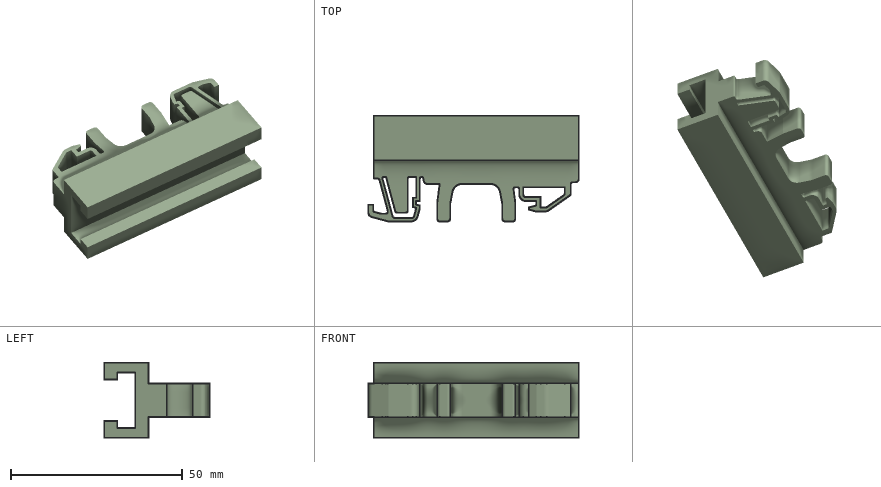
import cadquery as cq
import math


overall_length = 61.6
rail_length = 60.0
rail_depth = 13.0
rail_height = 22.0
lip_depth = 3.9
channel_depth = 5.2
channel_height = 16.15
mouth_height = 12.1

foot_thickness = 9.85
foot_depth = 17.9
small_radius = 0.3
root_radius = 0.45
corner_radius = 0.6
foot_edge = -6.95

lean = math.tan(math.radians(15))
left_shoulder = -5.35
arm_outer_x = 1.6
hook_overhang = overall_length - rail_length
hook_width = 1.55
hook_tip = -12.95
hook_floor = -15.6
hook_floor_bend_x = 2.15
hook_heel_radius = 1.55
hook_outer_bend_x = 4.4
hook_bend_radius = 1.55
loop_right = 13.55
loop_wall = 1.1
loop_bend_radius = 2.15
loop_bend = -14.05
jog_top = -11.95
jog_bottom = -12.95
jog_step = 1.0
inner_jog_top = -10.9
inner_jog_bottom = -13.7
loop_floor = -16.8
slot_top = -4.9
slot_left_x = 2.5
tongue_left_x = 3.65
tongue_right_x = 10.05
tongue_tip = -15.35

notch_right = 14.4
notch_lean = 0.4
notch_radius = 1.25

legs_middle = 30.0
leg_outer_half = 11.45
leg_inner_half = 7.6
leg_outer_root_half = 10.7
leg_inner_root_half = 6.45
leg_outer_bend = -12.5
leg_inner_bend = -12.7
leg_arch_radius = 2.8
leg_tip_radius = 0.9
leg_bend_radius = 4.9

right_shoulder = -6.45
gap_top = -7.95
latch_left = 42.5
latch_wall = 1.3
latch_bar_top = -10.7
latch_bar_bottom = -11.95
latch_bend_radius = 2.05
barb_neck_x = 47.5
barb_top = -13.2
barb_tip_x = 45.4
barb_bend_x = 47.55
latch_bottom = -15.0
latch_floor = -13.75
window_step_x = 48.8
window_right = 55.8
frame_right = 57.65
brace_slope = math.tan(math.radians(35))
brace_outer_top = -10.1
brace_inner_top = -10.05
brace_bend_radius = 2.45
end_radius = 1.1


def rounded_outline(corners):
    """Closed outline from (x, y, radius) corners; a zero radius leaves the corner sharp."""
    path = cq.Workplane("XY")
    for index, (x, y, radius) in enumerate(corners):
        following = corners[(index + 1) % len(corners)]
        corner = cq.Vector(x, y)
        backward = (cq.Vector(*corners[index - 1][:2]) - corner).normalized()
        forward = (cq.Vector(*following[:2]) - corner).normalized()
        half_angle = backward.getAngle(forward) / 2
        setback = radius / math.tan(half_angle)
        arc_depth = radius / math.sin(half_angle) - radius
        start = corner + backward * setback
        path = path.moveTo(start.x, start.y) if index == 0 else path.lineTo(start.x, start.y)
        if radius > 0:
            middle = corner + (backward + forward).normalized() * arc_depth
            end = corner + forward * setback
            path = path.threePointArc((middle.x, middle.y), (end.x, end.y))
    return path.close()


def foot_prism(corners):
    return rounded_outline(corners).extrude(foot_thickness / 2, both=True)


def rail():
    def bar(y_front, depth, height):
        return (
            cq.Workplane("XY")
            .box(rail_length, depth, height, centered=(False, False, True))
            .translate((0, y_front, 0))
        )

    channel_back = rail_depth - lip_depth
    channel = bar(channel_back - channel_depth, channel_depth, channel_height)
    mouth = bar(channel_back, lip_depth, mouth_height)
    return bar(0, rail_depth, rail_height).cut(channel).cut(mouth)


def left_clip_corners():
    """Outer corners from the left end of the foot to the notch beside the loop."""
    arm_foot_x = arm_outer_x + (left_shoulder - hook_floor) * lean
    hook_inner_x = hook_width - hook_overhang
    loop_lean_end = loop_right - (loop_bend + foot_depth) * lean
    return [
        (0, left_shoulder, small_radius),
        (arm_outer_x, left_shoulder, corner_radius),
        (arm_foot_x, hook_floor, corner_radius),
        (hook_floor_bend_x, hook_floor, 0),
        (hook_inner_x, hook_floor + (hook_floor_bend_x - hook_inner_x) * lean, small_radius),
        (hook_inner_x, hook_tip, 0),
        (-hook_overhang, hook_tip, 0),
        (-hook_overhang, -foot_depth + (hook_outer_bend_x + hook_overhang) * lean, hook_heel_radius),
        (hook_outer_bend_x, -foot_depth, hook_bend_radius),
        (loop_lean_end, -foot_depth, loop_bend_radius),
        (loop_right, loop_bend, 0),
        (loop_right, jog_bottom - loop_wall * lean, 0),
        (loop_right - loop_wall, jog_bottom, 0),
        (loop_right - loop_wall, jog_top, 0),
        (loop_right, jog_top, 0),
        (loop_right, slot_top, root_radius),
        (notch_right, slot_top, root_radius),
        (notch_right + notch_lean, foot_edge, notch_radius),
    ]


def leg_corners():
    """Corners of both legs and the arch between them, from left to right."""
    left_half = [
        (-leg_outer_root_half, foot_edge, 0),
        (-leg_outer_half, leg_outer_bend, 0),
        (-leg_outer_half, -foot_depth, leg_tip_radius),
        (-leg_inner_half, -foot_depth, leg_tip_radius),
        (-leg_inner_half, leg_inner_bend, leg_bend_radius),
        (-leg_inner_root_half, foot_edge, leg_arch_radius),
    ]
    outer_slope = (leg_outer_half - leg_outer_root_half) / (foot_edge - leg_outer_bend)
    right_root_half = leg_outer_root_half + (foot_edge - gap_top) * outer_slope
    left = [(legs_middle + x, y, radius) for x, y, radius in left_half]
    right = [(legs_middle - x, y, radius) for x, y, radius in reversed(left_half[1:])]
    return left + right + [(legs_middle + right_root_half, gap_top, root_radius)]


def right_clip_corners():
    """Outer corners from the gap beside the right leg to the right end of the foot."""
    brace_end_x = frame_right - (brace_outer_top - latch_bottom) / brace_slope
    return [
        (latch_left, gap_top, root_radius),
        (latch_left, latch_bar_bottom, latch_bend_radius),
        (barb_neck_x, latch_bar_bottom, 0),
        (barb_neck_x, barb_top, 0),
        (barb_tip_x, barb_top - (barb_neck_x - barb_tip_x) * lean, 0),
        (barb_tip_x, latch_bottom + (barb_bend_x - barb_tip_x) * lean, 0),
        (barb_bend_x, latch_bottom, 0),
        (brace_end_x, latch_bottom, brace_bend_radius),
        (frame_right, brace_outer_top, corner_radius),
        (frame_right, right_shoulder, root_radius),
        (rail_length, right_shoulder, end_radius),
    ]


def foot_body():
    back_edge = [(rail_length, 0, 0), (0, 0, 0)]
    return foot_prism(left_clip_corners() + leg_corners() + right_clip_corners() + back_edge)


def loop_opening():
    """Opening that separates the tongue from the arm and the loop."""
    inner_right = loop_right - loop_wall
    jog_left = inner_right - jog_step
    arm_end_x = slot_left_x + (slot_top - loop_floor) * lean
    tongue_end_x = tongue_left_x + (slot_top - tongue_tip) * lean
    inner_bend = inner_jog_bottom - jog_step * lean
    return foot_prism([
        (slot_left_x, slot_top, small_radius),
        (arm_end_x, loop_floor, corner_radius),
        (inner_right - (inner_bend - loop_floor) * lean, loop_floor, corner_radius),
        (inner_right, inner_bend, 0),
        (jog_left, inner_jog_bottom, 0),
        (jog_left, inner_jog_top, 0),
        (inner_right, inner_jog_top, 0),
        (inner_right, slot_top, 0),
        (tongue_right_x, slot_top, small_radius),
        (tongue_right_x, tongue_tip, corner_radius),
        (tongue_end_x, tongue_tip, corner_radius),
        (tongue_left_x, slot_top, 0),
    ])


def latch_window():
    """Opening inside the frame of the right clip."""
    window_left = latch_left + latch_wall
    brace_end_x = window_right - (brace_inner_top - latch_floor) / brace_slope
    return foot_prism([
        (window_left, gap_top, 0),
        (window_left, latch_bar_top, corner_radius),
        (window_step_x, latch_bar_top, 0),
        (window_step_x, latch_floor, 0),
        (brace_end_x, latch_floor, 0),
        (window_right, brace_inner_top, corner_radius),
        (window_right, gap_top, 0),
    ])


foot = foot_body().cut(loop_opening()).cut(latch_window())
result = rail().union(foot)